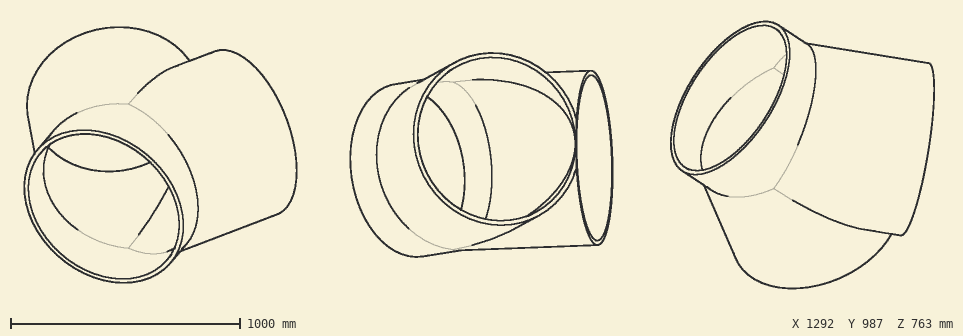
import cadquery as cq
import math

outer_diameter = 763.0
bore_diameter = 722.0
overall_width = 1292.0
overall_length = 987.0
branch_angle = 30.0

angle = math.radians(branch_angle)
outer_radius = outer_diameter / 2
branch_length = (overall_width / 2 - outer_radius * math.cos(angle)) / math.sin(angle)
crotch_y = branch_length / math.cos(angle)
inlet_length = overall_length - crotch_y
miter_slope = math.tan(angle / 2)

trim_reach = 2 * overall_width


def pipe_rod(diameter, direction, start, end):
    """Cylinder along direction, between two distances from the origin."""
    axis = cq.Vector(*direction)
    return cq.Workplane(obj=cq.Solid.makeCylinder(
        diameter / 2, end - start, axis * start, axis))


def trim_prism(points):
    """Tall prism over an XY outline, centred on the XY plane."""
    return cq.Workplane("XY").polyline(points).close().extrude(trim_reach / 2, both=True)


def wye(diameter):
    """Three solid rods mitred together at the origin."""
    miter_drop = -trim_reach * miter_slope
    inlet_region = trim_prism([
        (0, 0),
        (-trim_reach, miter_drop),
        (-trim_reach, -trim_reach),
        (trim_reach, -trim_reach),
        (trim_reach, miter_drop),
    ])
    inlet = pipe_rod(diameter, (0, -1, 0), -outer_diameter, inlet_length)
    body = inlet.intersect(inlet_region)

    for side in (-1, 1):
        branch_region = trim_prism([
            (0, 0),
            (side * trim_reach, miter_drop),
            (side * trim_reach, trim_reach),
            (0, trim_reach),
        ])
        direction = (side * math.sin(angle), math.cos(angle), 0)
        branch = pipe_rod(diameter, direction, -outer_diameter, branch_length)
        body = body.union(branch.intersect(branch_region))
    return body


result = wye(outer_diameter).cut(wye(bore_diameter))